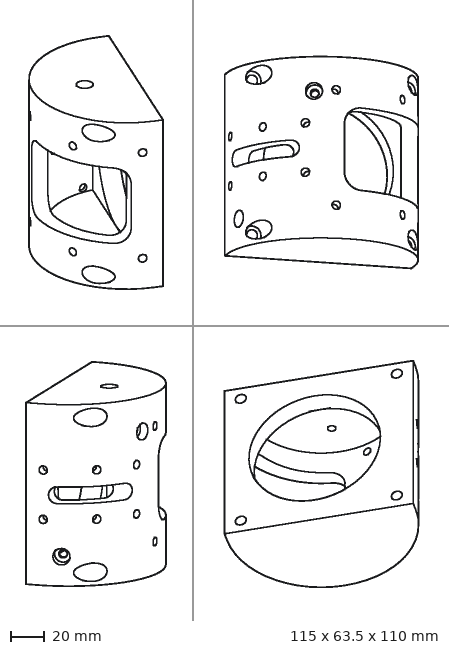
import cadquery as cq
import math

outer_radius = 57.5
wall = 10.0
inner_radius = outer_radius - wall
back_y = 6.0
height = 110.0
reach = 2 * outer_radius
clearance = 1.2

cavity_back_y = -7.0
back_opening_diameter = 80.0
cavity_height = back_opening_diameter
back_opening_x = 2.5
end_plate = (height - cavity_height) / 2

window_left_x = -2.5
window_back_y = -13.2
window_height = 49.9
window_corner_radius = 10.4

slot_right_x = -28.2
slot_back_y = -7.9
slot_height = 10.0

mount_x = 47.5
mount_z = 46.9
mount_diameter = 6.5
mount_seat_diameter = 11.0
mount_seat_y = -17.0

pin_diameter = 5.0
pin_depth = 9.0
window_pin_angles = (-7.5, 40.5, 83.5)
window_pin_z = 35.0
slot_pin_angles = (-85.3, -53.3, -25.8)
slot_pin_z = 15.0

screw_diameter = 5.0
screw_head_diameter = 10.0
front_screw_angle = -20.7
front_screw_z = 34.2
front_screw_head_depth = 6.0
side_screw_angle = -74.4
side_screw_axis_angle = -77.5
side_screw_z = -37.1
side_screw_head_depth = 7.6
screw_length = 17.2
top_screw_y = -25.5
top_screw_head_depth = 10.0


def half_disc(radius, length):
    """Half disc about Z on the -Y side, centred in Z."""
    profile = cq.Workplane("XY").moveTo(-radius, 0).threePointArc((0, -radius), (radius, 0))
    return profile.close().extrude(length / 2, both=True)


def cylinder(diameter, length, start, direction):
    return cq.Workplane(cq.Solid.makeCylinder(
        diameter / 2, length, cq.Vector(*start), cq.Vector(*direction)))


def rounded_bar(plane, center, bar_height, corner_radius):
    """Long bar with rounded corners, extruded to both sides of a vertical plane."""
    profile = cq.Workplane(plane).center(center, 0)
    if 2 * corner_radius >= bar_height:
        return profile.slot2D(reach, bar_height).extrude(reach, both=True)
    bar = profile.rect(reach, bar_height).extrude(reach, both=True)
    return bar.edges("|Y" if plane == "XZ" else "|X").fillet(corner_radius)


def wall_opening(side, end_x, end_y, opening_height, corner_radius):
    """Opening through the curved wall on one side (+1 right, -1 left).

    Its inner end at end_x runs along Y and its rear end at end_y runs along X.
    """
    along_y = rounded_bar("XZ", end_x + side * reach / 2, opening_height, corner_radius)
    along_x = rounded_bar("YZ", end_y - reach / 2, opening_height, corner_radius)
    return along_y.intersect(along_x)


def wall_hole(diameter, depth, angle, axis_angle, z):
    """Level hole into the curved wall; angle places it and axis_angle is where its mouth faces."""
    position = math.radians(angle)
    axis = math.radians(axis_angle)
    out_x = math.sin(axis)
    out_y = -math.cos(axis)
    start_x = outer_radius * math.sin(position) + clearance * out_x
    start_y = -outer_radius * math.cos(position) + clearance * out_y
    return cylinder(diameter, depth + clearance, (start_x, start_y, z), (-out_x, -out_y, 0))


back_plate = cq.Workplane("XY").box(2 * outer_radius, back_y, height).translate((0, back_y / 2, 0))
body = half_disc(outer_radius, height).union(back_plate)
cavity_limit = cq.Workplane("XY").box(2 * reach, reach, reach)
cavity_limit = cavity_limit.translate((0, cavity_back_y - reach / 2, 0))
body = body.cut(half_disc(inner_radius, cavity_height).intersect(cavity_limit))
body = body.cut(cylinder(
    back_opening_diameter, reach, (back_opening_x, cavity_back_y, 0), (0, 1, 0)))

body = body.cut(wall_opening(
    1, window_left_x, window_back_y, window_height, window_corner_radius))
body = body.cut(wall_opening(
    -1, slot_right_x, slot_back_y, slot_height, slot_height / 2))

for x in (-mount_x, mount_x):
    for z in (-mount_z, mount_z):
        body = body.cut(cylinder(mount_diameter, 2 * reach, (x, -reach, z), (0, 1, 0)))
        body = body.cut(cylinder(mount_seat_diameter, reach, (x, mount_seat_y, z), (0, -1, 0)))

pin_rows = ((window_pin_angles, window_pin_z), (slot_pin_angles, slot_pin_z))
for angles, row_z in pin_rows:
    for angle in angles:
        for z in (-row_z, row_z):
            body = body.cut(wall_hole(pin_diameter, pin_depth, angle, angle, z))

wall_screws = (
    (front_screw_angle, front_screw_angle, front_screw_z, front_screw_head_depth),
    (side_screw_angle, side_screw_axis_angle, side_screw_z, side_screw_head_depth),
)
for angle, axis_angle, z, head_depth in wall_screws:
    body = body.cut(wall_hole(screw_diameter, screw_length, angle, axis_angle, z))
    body = body.cut(wall_hole(screw_head_diameter, head_depth, angle, axis_angle, z))

top_center = (0, top_screw_y, height / 2)
body = body.cut(cylinder(screw_diameter, end_plate + clearance, top_center, (0, 0, -1)))
body = body.cut(cylinder(screw_head_diameter, top_screw_head_depth, top_center, (0, 0, -1)))

result = body